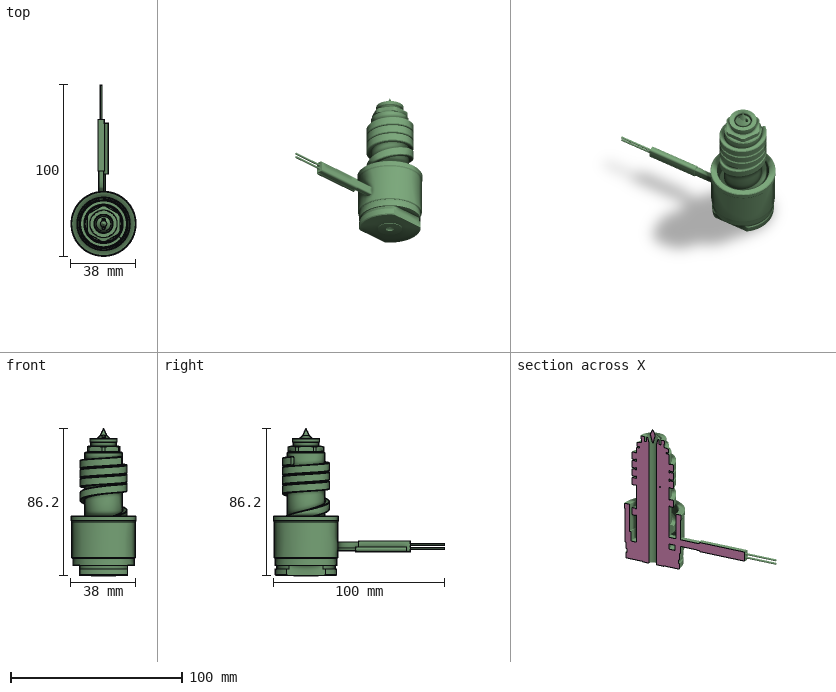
import cadquery as cq
import math

PAD_RADIUS = 7.1
PAD_HEIGHT = 0.3
FOOT_RADIUS = 18.0
FOOT_TOP = 4.1
FOOT_CHAMFER = 0.5
FLAT_DISTANCE = 14.0
NECK_RADIUS = 17.1
NECK_TOP = 6.2
CUP_RADIUS = 18.6
CUP_BOTTOM = 10.3
COLLAR_RADIUS = 19.0
COLLAR_BOTTOM = 31.6
COLLAR_TAPER = 0.7
COLLAR_TOP = 35.2
EDGE_CHAMFER = 0.4
CUP_BORE_RADIUS = 15.2
CUP_LEDGE = 18.0
CUP_WELL_RADIUS = 14.4
CUP_FLOOR = 12.0

STEM_RADIUS = 11.0
STEM_TOP = 72.4
STEM_CHAMFER = 0.6
HEX_ACROSS_FLATS = 19.0
HEX_CORNER_RADIUS = 10.5
HEX_TURN = 30.0
HEX_BOTTOM = 72.8
HEX_TOP = 76.0
HEX_CROWN_DROP = 0.6
HEX_RELIEF_RADIUS = 9.0
GROOVE_RADIUS = 7.5
RING_RADIUS = 8.0
RING_BOTTOM = 77.9
RING_TOP = 80.3
RING_CHAMFER = 0.5
RING_BORE_RADIUS = 5.2
RING_BORE_DEPTH = 3.0
RING_BORE_CHAMFER = 0.4

TIP_TOP = 86.2
TIP_NEEDLE_BASE = 82.2
TIP_NEEDLE_RADIUS = 1.9
TIP_FLARE_RADIUS = 4.3
CHANNEL_RADIUS = 2.4
CHANNEL_TOP = 77.0
OUTLET_RADIUS = 1.0
OUTLET_TILT = 15.0
OUTLET_OFFSET = 2.6
OUTLET_MOUTH = 81.7
OUTLET_OVERRUN = 3.0

COIL_RADIUS = 13.8
COIL_HEIGHT = 4.9
COIL_CHAMFER = 0.4
COIL_INNER_CHAMFER = 0.5
COIL_EMBED = 0.5
COIL_TOP = 69.7
COIL_START_ANGLE = 320.0
COIL_EXTRA_TURNS = 4
COIL_END_ANGLE = 90.0 - COIL_EXTRA_TURNS * 360.0
CLOSE_WOUND_ANGLE = 1095.0
COIL_GAP = 0.45
CLOSE_PITCH = COIL_HEIGHT + COIL_GAP
STEEP_PITCH = 20.5
RAMP_ANGLE = 120.0
STEEP_ANGLE = 280.0
RUN_OUT_PITCH = 12.0
COIL_STEP = 15.0

CABLE_X = -1.4
CABLE_Z = 17.3
CABLE_WIDTH = 3.0
CABLE_HEIGHT = 5.2
CABLE_CORNER = 0.7
CABLE_START = STEM_RADIUS
SLEEVE_WIDTH = 3.8
SLEEVE_HEIGHT = 6.4
SLEEVE_CORNER = 1.0
SLEEVE_START = 30.8
SLEEVE_END = 61.0
WIRE_RADIUS = 0.6
WIRE_SPACING = 2.2
WIRE_END = 81.0
PROBE_SLEEVE_X = 1.3
PROBE_SLEEVE_RADIUS = 1.5
PROBE_SLEEVE_START = 29.0
PROBE_SLEEVE_END = 58.8
PROBE_LEAD_X = 0.3
PROBE_LEAD_RADIUS = 0.7
PROBE_Z = CABLE_Z - SLEEVE_HEIGHT / 2 + PROBE_SLEEVE_RADIUS


def disc(radius, bottom, top):
    return cq.Workplane("XY", origin=(0, 0, bottom)).circle(radius).extrude(top - bottom)


def revolved(points):
    """Revolve a closed outline of (radius, z) points about the Z axis."""
    return cq.Workplane("XZ").polyline(points).close().revolve(360, (0, 0), (0, 1))


def make_housing():
    foot = disc(FOOT_RADIUS, PAD_HEIGHT, FOOT_TOP).faces("<Z").chamfer(FOOT_CHAMFER)
    neck = disc(NECK_RADIUS, FOOT_TOP, NECK_TOP)
    flats = cq.Workplane("XY").box(2 * FLAT_DISTANCE, 2 * FOOT_RADIUS, NECK_TOP, (True, True, False))
    step = disc(FOOT_RADIUS, NECK_TOP, CUP_BOTTOM)
    cup = disc(CUP_RADIUS, CUP_BOTTOM, COLLAR_BOTTOM).faces("<Z").chamfer(EDGE_CHAMFER)
    collar = revolved([
        (0, COLLAR_BOTTOM),
        (CUP_RADIUS, COLLAR_BOTTOM),
        (COLLAR_RADIUS, COLLAR_BOTTOM + COLLAR_TAPER),
        (COLLAR_RADIUS, COLLAR_TOP - EDGE_CHAMFER),
        (COLLAR_RADIUS - EDGE_CHAMFER, COLLAR_TOP),
        (0, COLLAR_TOP),
    ])
    well = disc(CUP_WELL_RADIUS, CUP_FLOOR, CUP_LEDGE)
    bore = disc(CUP_BORE_RADIUS, CUP_LEDGE, COLLAR_TOP)
    bore_mouth = revolved([
        (0, COLLAR_TOP - EDGE_CHAMFER),
        (CUP_BORE_RADIUS, COLLAR_TOP - EDGE_CHAMFER),
        (CUP_BORE_RADIUS + EDGE_CHAMFER, COLLAR_TOP),
        (0, COLLAR_TOP),
    ])
    pad = disc(PAD_RADIUS, 0, PAD_HEIGHT)
    outside = foot.union(neck).intersect(flats).union(step).union(cup).union(collar)
    return outside.union(pad).cut(well).cut(bore).cut(bore_mouth)


def make_hexagon():
    across_corners = HEX_ACROSS_FLATS / math.cos(math.pi / 6)
    prism = (
        cq.Workplane("XY", origin=(0, 0, HEX_BOTTOM))
        .polygon(6, across_corners)
        .extrude(HEX_TOP - HEX_BOTTOM)
        .rotate((0, 0, 0), (0, 0, 1), HEX_TURN)
    )
    crown = revolved([
        (0, HEX_BOTTOM),
        (HEX_CORNER_RADIUS, HEX_BOTTOM),
        (HEX_CORNER_RADIUS, HEX_TOP - HEX_CROWN_DROP),
        (RING_RADIUS, HEX_TOP),
        (0, HEX_TOP),
    ])
    return prism.intersect(crown)


def make_nozzle():
    stem = disc(STEM_RADIUS, CUP_BOTTOM, STEM_TOP).faces(">Z").chamfer(STEM_CHAMFER)
    relief = disc(HEX_RELIEF_RADIUS, STEM_TOP, HEX_BOTTOM)
    groove = disc(GROOVE_RADIUS, HEX_TOP, RING_BOTTOM)
    ring = disc(RING_RADIUS, RING_BOTTOM, RING_TOP).faces("<Z").chamfer(RING_CHAMFER)
    bore_floor = RING_TOP - RING_BORE_DEPTH
    ring_bore = revolved([
        (0, bore_floor),
        (RING_BORE_RADIUS, bore_floor),
        (RING_BORE_RADIUS, RING_TOP - RING_BORE_CHAMFER),
        (RING_BORE_RADIUS + RING_BORE_CHAMFER, RING_TOP),
        (0, RING_TOP),
    ])
    flare_end = TIP_NEEDLE_BASE - (TIP_FLARE_RADIUS - TIP_NEEDLE_RADIUS)
    tip = revolved([
        (0, bore_floor),
        (TIP_FLARE_RADIUS, bore_floor),
        (TIP_FLARE_RADIUS, flare_end),
        (TIP_NEEDLE_RADIUS, TIP_NEEDLE_BASE),
        (0, TIP_TOP),
    ])
    body = stem.union(relief).union(make_hexagon()).union(groove).union(ring)
    return body.cut(ring_bore).union(tip)


def make_melt_channel():
    """Central channel from the base, branching into two outlets beside the needle."""
    channel = disc(CHANNEL_RADIUS, 0, CHANNEL_TOP)
    tilt = math.radians(OUTLET_TILT)
    inward_length = OUTLET_OFFSET / math.sin(tilt)
    for side in (-1, 1):
        direction = cq.Vector(0, side * math.sin(tilt), math.cos(tilt))
        mouth = cq.Vector(0, side * OUTLET_OFFSET, OUTLET_MOUTH)
        outlet = cq.Solid.makeCylinder(
            OUTLET_RADIUS,
            inward_length + OUTLET_OVERRUN,
            mouth - direction * inward_length,
            direction,
        )
        channel = channel.union(cq.Workplane(outlet))
    return channel


def coil_drop(turned):
    """Height lost by the strip after turning through the given degrees from its top end."""
    close = min(turned, CLOSE_WOUND_ANGLE)
    ramp = min(max(turned - CLOSE_WOUND_ANGLE, 0), RAMP_ANGLE)
    steep = min(max(turned - CLOSE_WOUND_ANGLE - RAMP_ANGLE, 0), STEEP_ANGLE)
    run_out = max(turned - CLOSE_WOUND_ANGLE - RAMP_ANGLE - STEEP_ANGLE, 0)
    ramp_pitch = CLOSE_PITCH + (STEEP_PITCH - CLOSE_PITCH) * ramp / (2 * RAMP_ANGLE)
    wound = CLOSE_PITCH * close + ramp_pitch * ramp
    unwound = STEEP_PITCH * steep + RUN_OUT_PITCH * run_out
    return (wound + unwound) / 360


def coil_edge(radius, depth):
    """Spline followed by one corner of the strip, at a depth below its top face."""
    total = COIL_START_ANGLE - COIL_END_ANGLE
    steps = math.ceil(total / COIL_STEP)
    points = []
    for index in range(steps + 1):
        turned = total * index / steps
        angle = math.radians(COIL_START_ANGLE - turned)
        height = COIL_TOP - depth - coil_drop(turned)
        points.append(cq.Vector(radius * math.cos(angle), radius * math.sin(angle), height))
    return cq.Edge.makeSpline(points)


def make_coil():
    inner = STEM_RADIUS - COIL_EMBED
    inner_slope = COIL_EMBED + COIL_INNER_CHAMFER
    inner_shoulder = STEM_RADIUS + COIL_INNER_CHAMFER
    shoulder = COIL_RADIUS - COIL_CHAMFER
    section = [
        (inner, inner_slope),
        (inner_shoulder, 0),
        (shoulder, 0),
        (COIL_RADIUS, COIL_CHAMFER),
        (COIL_RADIUS, COIL_HEIGHT - COIL_CHAMFER),
        (shoulder, COIL_HEIGHT),
        (inner_shoulder, COIL_HEIGHT),
        (inner, COIL_HEIGHT - inner_slope),
    ]
    edges = [coil_edge(radius, depth) for radius, depth in section]
    faces = [cq.Face.makeRuledSurface(edges[i - 1], edges[i]) for i in range(len(edges))]
    for end in (0, 1):
        corners = [edge.positionAt(end) for edge in edges]
        faces.append(cq.Face.makeFromWires(cq.Wire.makePolygon(corners, close=True)))
    return cq.Workplane(cq.Solid.makeSolid(cq.Shell.makeShell(faces)))


def rounded_bar(width, height, corner, start, end):
    return (
        cq.Workplane("XY", origin=(CABLE_X, start, CABLE_Z))
        .box(width, end - start, height, (True, False, True))
        .edges("|Y")
        .fillet(corner)
    )


def rod(radius, x, z, start, end):
    axis = cq.Vector(0, 1, 0)
    return cq.Workplane(cq.Solid.makeCylinder(radius, end - start, cq.Vector(x, start, z), axis))


def make_leads():
    leads = rounded_bar(CABLE_WIDTH, CABLE_HEIGHT, CABLE_CORNER, CABLE_START, SLEEVE_START)
    sleeve = rounded_bar(SLEEVE_WIDTH, SLEEVE_HEIGHT, SLEEVE_CORNER, SLEEVE_START, SLEEVE_END)
    leads = leads.union(sleeve)
    for side in (-1, 1):
        wire_z = CABLE_Z + side * WIRE_SPACING / 2
        leads = leads.union(rod(WIRE_RADIUS, CABLE_X, wire_z, SLEEVE_END, WIRE_END))
    probe = rod(PROBE_LEAD_RADIUS, PROBE_LEAD_X, PROBE_Z, CABLE_START, PROBE_SLEEVE_START)
    probe_sleeve = rod(
        PROBE_SLEEVE_RADIUS, PROBE_SLEEVE_X, PROBE_Z, PROBE_SLEEVE_START, PROBE_SLEEVE_END
    )
    return leads.union(probe).union(probe_sleeve)


nozzle = make_nozzle().union(make_coil())
assembly = make_housing().union(nozzle).union(make_leads())
result = assembly.cut(make_melt_channel())